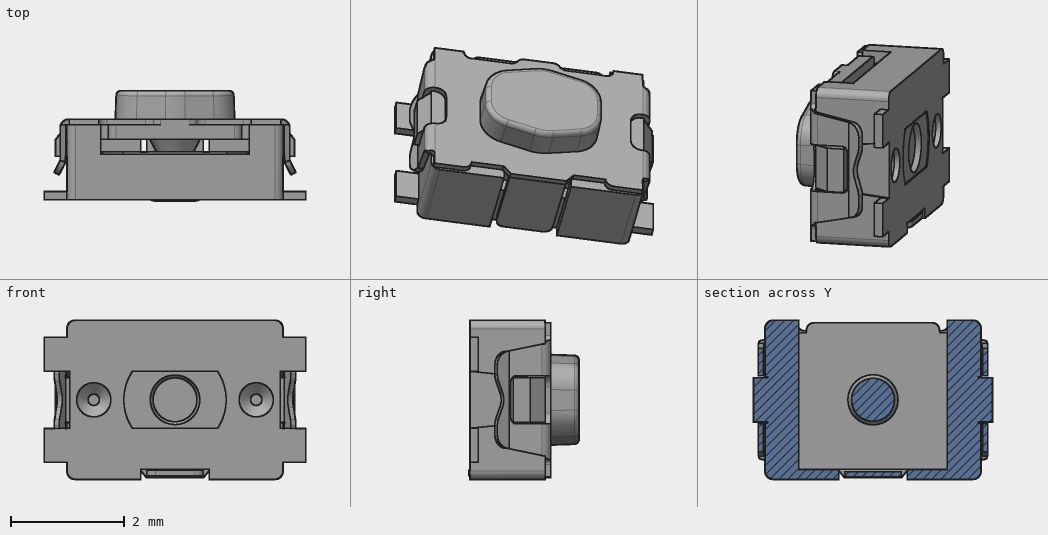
import math

import cadquery as cq

EPS = 0.02

BODY_X, BODY_Y, BODY_Z = 3.8, 1.32, 2.8
BODY_CORNER_R = 0.15
HALF_X, HALF_Z = BODY_X / 2, BODY_Z / 2

TERMINAL_SPAN, TERMINAL_THICK = 4.6, 0.15
TERMINAL_Z0, TERMINAL_Z1 = 0.5, 1.1

RECESS_DEPTH, RECESS_LENGTH = 0.05, 1.0
RECESS_HALF_OPEN, RECESS_HALF_END = 0.5, 0.4

LABEL_R, LABEL_HALF_Z, LABEL_DEPTH = 0.9, 0.5, 0.02
CENTRE_HOLE_R, CENTRE_HOLE_END_R, CENTRE_HOLE_DEPTH = 0.435, 0.385, 0.12
DIMPLE_X, DIMPLE_R, DIMPLE_END_R, DIMPLE_DEPTH = 1.427, 0.3, 0.1, 0.28
DIMPLE_WALL = 0.1

CAVITY_HALF_X, CAVITY_Y0 = 1.3, 0.8
NOTCH_HALF_X, NOTCH_Z = 0.6, -1.22

DISC_R, DISC_HALF_Z, DISC_THICK = 1.28, 0.9, 0.045
STEM_R0, STEM_R1 = 0.32, 0.45
SLIDE_HALF_X, SLIDE_Y0, SLIDE_CORNER_R = 1.17, 1.065, 0.13
SHOULDER_Z = 1.18

SHEET = 0.1
COVER_BACK = BODY_Y + SHEET
COVER_HALF_Z = 1.354
COVER_HALF_X = 1.86
COVER_STEP = 0.14
COVER_STEP_X = 1.34
TONGUE_HALF_X, TONGUE_MID_X, TONGUE_FOOT_X = 0.255, 0.38, 0.52

ARM_OUTER_X = 2.02
ARM_INNER_X = ARM_OUTER_X - SHEET
BEND_R = ARM_OUTER_X - COVER_HALF_X
ARM_END_Y, ARM_KNUCKLE_Y = 0.69, 0.67
ARM_HALF_ROOT, ARM_BEND_HALF, ARM_HALF_END = 1.01, 0.978, 0.855
ARM_GUSSET_Z, ARM_ROOT_FILLET = 1.05, 0.08
ARM_WINDOW_HALF_Z, ARM_WINDOW_Y0, ARM_WINDOW_R = 0.42, 0.72, 0.1
COVER_WINDOW_X, COVER_WINDOW_R = 1.65, 0.19

FLARE_ANGLE = 27
FLARE_LENGTH, FLARE_VALLEY = 0.232, 0.108
CREST_Z0, CREST_Z1 = 0.45, 0.62
WAVE_R, WAVE_ANGLE = 0.35, math.radians(20)

NUB_X, NUB_HALF_Z, NUB_Y0, NUB_Y1 = 2.1, 0.39, 0.765, 1.057

TAB_HALF_X, TAB_TIP_Y, TAB_CORNER_R = 0.5, -0.02, 0.15
TAB_TIP_Z, TAB_ROOT_Z = -1.337, -1.37
TAB_FLARE = 0.13

BUTTON_Y = 1.92
BUTTON_HALF_X, BUTTON_HALF_Z = 1.05, 0.797
BUTTON_SLOPE = math.radians(13.7)
BUTTON_SIDE_R, BUTTON_PEAK_R = 0.48, 0.72
BUTTON_TAPER, BUTTON_EDGE_R = 2, 0.09


def block(x0, x1, y0, y1, z0, z1):
    """Box between two opposite corners."""
    return cq.Workplane("XY").box(x1 - x0, y1 - y0, z1 - z0, centered=False).translate((x0, y0, z0))


def xz_sketch(y):
    """Workplane at height y whose local axes are X and Z; it extrudes toward -Y."""
    return cq.Workplane("XZ", origin=(0, y, 0))


def cone(x, y0, y1, r0, r1):
    """Truncated cone along Y, with radius r0 at y0 and r1 at y1."""
    profile = [(0, y0), (r0, y0), (r1, y1), (0, y1)]
    return cq.Workplane("XY").polyline(profile).close().revolve(360, (0, 0), (0, 1)).translate((x, 0, 0))


def both_ends(shape):
    """The shape together with its mirror image across the YZ plane."""
    return shape.union(shape.mirror("YZ"))


def make_housing():
    housing = block(-HALF_X, HALF_X, 0, BODY_Y, -HALF_Z, HALF_Z).edges("|Y").fillet(BODY_CORNER_R)
    half_span = TERMINAL_SPAN / 2
    for z0, z1 in ((TERMINAL_Z0, TERMINAL_Z1), (-TERMINAL_Z1, -TERMINAL_Z0)):
        housing = housing.union(block(-half_span, half_span, 0, TERMINAL_THICK, z0, z1))

    recess = (
        cq.Workplane("YZ", origin=(HALF_X - RECESS_DEPTH, 0, 0))
        .polyline([
            (0, -RECESS_HALF_OPEN), (RECESS_LENGTH, -RECESS_HALF_END),
            (RECESS_LENGTH, RECESS_HALF_END), (0, RECESS_HALF_OPEN),
        ])
        .close()
        .extrude(2 * RECESS_DEPTH)
    )
    housing = housing.cut(both_ends(recess))

    cavity = block(-CAVITY_HALF_X, CAVITY_HALF_X, CAVITY_Y0, BODY_Y, NOTCH_Z, HALF_Z)
    notch = block(-NOTCH_HALF_X, NOTCH_HALF_X, 0, BODY_Y, -HALF_Z, NOTCH_Z)
    return housing.cut(cavity).cut(notch)


def cut_mounting_face(part):
    label = xz_sketch(LABEL_DEPTH).circle(LABEL_R).extrude(LABEL_DEPTH)
    label = label.intersect(block(-LABEL_R, LABEL_R, 0, LABEL_DEPTH, -LABEL_HALF_Z, LABEL_HALF_Z))
    centre_hole = cone(0, LABEL_DEPTH, CENTRE_HOLE_DEPTH, CENTRE_HOLE_R, CENTRE_HOLE_END_R)
    dimple = cone(DIMPLE_X, 0, DIMPLE_WALL, DIMPLE_R, DIMPLE_R)
    dimple = dimple.union(cone(DIMPLE_X, DIMPLE_WALL, DIMPLE_DEPTH, DIMPLE_R, DIMPLE_END_R))
    return part.cut(label).cut(centre_hole).cut(both_ends(dimple))


def make_inner_parts():
    disc_top = CAVITY_Y0 + DISC_THICK
    disc = xz_sketch(disc_top).circle(DISC_R).extrude(DISC_THICK + EPS)
    disc = disc.intersect(block(-DISC_R, DISC_R, 0, disc_top, -DISC_HALF_Z, DISC_HALF_Z))
    stem = cone(0, disc_top - EPS, SLIDE_Y0 + EPS, STEM_R0, STEM_R1)
    slide = block(-SLIDE_HALF_X, SLIDE_HALF_X, SLIDE_Y0, BODY_Y, NOTCH_Z, COVER_HALF_Z)
    slide = slide.edges("|Y and >Z").fillet(SLIDE_CORNER_R)
    shoulders = block(-CAVITY_HALF_X, CAVITY_HALF_X, SLIDE_Y0, BODY_Y, NOTCH_Z, SHOULDER_Z)
    return disc.union(stem).union(slide).union(shoulders)


def make_cover_plate():
    step_z = COVER_HALF_Z - COVER_STEP
    step_x = COVER_STEP_X - COVER_STEP
    mid_z = COVER_HALF_Z - COVER_STEP / 2
    flare_x = TAB_HALF_X + TAB_FLARE
    half = (
        xz_sketch(COVER_BACK)
        .moveTo(0, COVER_HALF_Z)
        .lineTo(TONGUE_HALF_X, COVER_HALF_Z)
        .tangentArcPoint((TONGUE_MID_X, mid_z), relative=False)
        .tangentArcPoint((TONGUE_FOOT_X, step_z), relative=False)
        .lineTo(step_x, step_z)
        .tangentArcPoint((COVER_STEP_X, COVER_HALF_Z), relative=False)
        .lineTo(COVER_HALF_X, COVER_HALF_Z)
        .lineTo(COVER_HALF_X, -COVER_HALF_Z)
        .lineTo(COVER_STEP_X, -COVER_HALF_Z)
        .radiusArc((step_x, -step_z), COVER_STEP)
        .lineTo(flare_x, -step_z)
        .lineTo(TAB_HALF_X, TAB_ROOT_Z)
        .lineTo(0, TAB_ROOT_Z)
        .close()
        .extrude(SHEET)
    )
    return both_ends(half)


def make_flare():
    """Wavy arm tip, tilted outward about its root line at the outer arm face."""
    wave_z = WAVE_R * math.sin(WAVE_ANGLE)
    wave_y = WAVE_R * (1 - math.cos(WAVE_ANGLE))
    mid_arc_z = WAVE_R * math.sin(WAVE_ANGLE / 2)
    mid_arc_y = WAVE_R * (1 - math.cos(WAVE_ANGLE / 2))
    half = (
        cq.Workplane("YZ")
        .moveTo(-FLARE_VALLEY, 0)
        .threePointArc((-FLARE_VALLEY - mid_arc_y, mid_arc_z), (-FLARE_VALLEY - wave_y, wave_z))
        .lineTo(-FLARE_LENGTH + wave_y, CREST_Z0 - wave_z)
        .threePointArc((-FLARE_LENGTH + mid_arc_y, CREST_Z0 - mid_arc_z), (-FLARE_LENGTH, CREST_Z0))
        .lineTo(-FLARE_LENGTH, CREST_Z1)
        .tangentArcPoint((0, ARM_HALF_END), relative=False)
        .lineTo(EPS, ARM_HALF_END)
        .lineTo(EPS, 0)
        .close()
        .extrude(SHEET)
    )
    flare = half.union(half.mirror("XY"))
    flare = flare.translate((-SHEET, 0, 0)).rotate((0, 0, 0), (0, 0, 1), FLARE_ANGLE)
    return flare.translate((ARM_OUTER_X, ARM_END_Y, 0))


def make_arm():
    """Arm on the +X end: a bend, a tapered straight leg and the flared tip."""
    bend_y = COVER_BACK - BEND_R
    strip = (
        cq.Workplane("XY", origin=(0, 0, -COVER_HALF_Z))
        .moveTo(COVER_HALF_X - EPS, COVER_BACK)
        .lineTo(COVER_HALF_X, COVER_BACK)
        .tangentArcPoint((ARM_OUTER_X, bend_y), relative=False)
        .lineTo(ARM_OUTER_X, ARM_END_Y)
        .lineTo(ARM_INNER_X, ARM_KNUCKLE_Y)
        .lineTo(ARM_INNER_X, bend_y)
        .radiusArc((COVER_HALF_X, BODY_Y), -(BEND_R - SHEET))
        .lineTo(COVER_HALF_X - EPS, BODY_Y)
        .close()
        .extrude(2 * COVER_HALF_Z)
    )
    taper = (
        cq.Workplane("YZ")
        .polyline([
            (COVER_BACK, -ARM_HALF_ROOT), (ARM_KNUCKLE_Y, -ARM_HALF_END),
            (ARM_KNUCKLE_Y, ARM_HALF_END), (COVER_BACK, ARM_HALF_ROOT),
        ])
        .close()
        .extrude(ARM_OUTER_X)
    )
    arm = strip.intersect(taper)

    root_x = COVER_HALF_X - EPS
    root_gusset = (
        xz_sketch(COVER_BACK)
        .moveTo(root_x, ARM_HALF_END)
        .lineTo(root_x, ARM_GUSSET_Z + ARM_ROOT_FILLET)
        .lineTo(COVER_HALF_X, ARM_GUSSET_Z + ARM_ROOT_FILLET)
        .radiusArc((COVER_HALF_X + ARM_ROOT_FILLET, ARM_GUSSET_Z), -ARM_ROOT_FILLET)
        .tangentArcPoint((ARM_OUTER_X, ARM_BEND_HALF), relative=False)
        .lineTo(ARM_OUTER_X, ARM_HALF_END)
        .close()
        .extrude(SHEET)
        .intersect(strip)
    )
    return arm.union(root_gusset).union(root_gusset.mirror("XY")).union(make_flare())


def make_arm_window():
    """Cutter for the window that runs from the +X arm through the bend into the cover plate."""
    half_z = ARM_WINDOW_HALF_Z
    leg = block(HALF_X, ARM_OUTER_X + EPS, ARM_WINDOW_Y0, COVER_BACK, -half_z, half_z)
    leg = leg.edges("|X and <Y").fillet(ARM_WINDOW_R)
    plate = block(COVER_WINDOW_X, ARM_OUTER_X, BODY_Y, COVER_BACK, -half_z, half_z)
    plate = plate.edges("|Y and <X").fillet(COVER_WINDOW_R)
    return leg.union(plate)


def make_cover():
    cover = make_cover_plate().union(both_ends(make_arm()))
    return cover.cut(both_ends(make_arm_window()))


def make_nub():
    return (
        cq.Workplane("XY", origin=(0, 0, -NUB_HALF_Z))
        .polyline([
            (HALF_X - RECESS_DEPTH - EPS, NUB_Y0), (NUB_X, NUB_Y0), (NUB_X, NUB_Y1),
            (HALF_X, BODY_Y), (HALF_X - RECESS_DEPTH - EPS, BODY_Y),
        ])
        .close()
        .extrude(2 * NUB_HALF_Z)
    )


def make_bottom_tab():
    """Tab folded from the cover; it runs through the bottom notch, leaning slightly inward."""
    tab = (
        cq.Workplane("YZ", origin=(-TAB_HALF_X, 0, 0))
        .polyline([
            (TAB_TIP_Y, TAB_TIP_Z), (COVER_BACK, TAB_ROOT_Z),
            (COVER_BACK, TAB_ROOT_Z + SHEET), (TAB_TIP_Y, TAB_TIP_Z + SHEET),
        ])
        .close()
        .extrude(2 * TAB_HALF_X)
    )
    return tab.faces("<Y").edges("|Z").fillet(TAB_CORNER_R)


def make_button():
    """Six-sided button with two blunt peaks along Z, rounded and tapered toward its tip."""
    peak_z = BUTTON_HALF_Z + BUTTON_PEAK_R * (1 / math.cos(BUTTON_SLOPE) - 1)
    shoulder_z = peak_z - BUTTON_HALF_X * math.tan(BUTTON_SLOPE)
    outline = [
        (0, peak_z), (BUTTON_HALF_X, shoulder_z), (BUTTON_HALF_X, -shoulder_z),
        (0, -peak_z), (-BUTTON_HALF_X, -shoulder_z), (-BUTTON_HALF_X, shoulder_z),
    ]
    button = xz_sketch(COVER_BACK).polyline(outline).close()
    button = button.extrude(COVER_BACK - BUTTON_Y, taper=BUTTON_TAPER)
    button = button.edges("not(#Y)").edges(">Z or <Z").fillet(BUTTON_PEAK_R)
    button = button.edges("not(#Y)").edges(">X or <X").fillet(BUTTON_SIDE_R)
    return button.faces(">Y").edges().fillet(BUTTON_EDGE_R)


result = cut_mounting_face(make_housing())
for feature in (make_inner_parts(), make_cover(), both_ends(make_nub()), make_bottom_tab(), make_button()):
    result = result.union(feature)